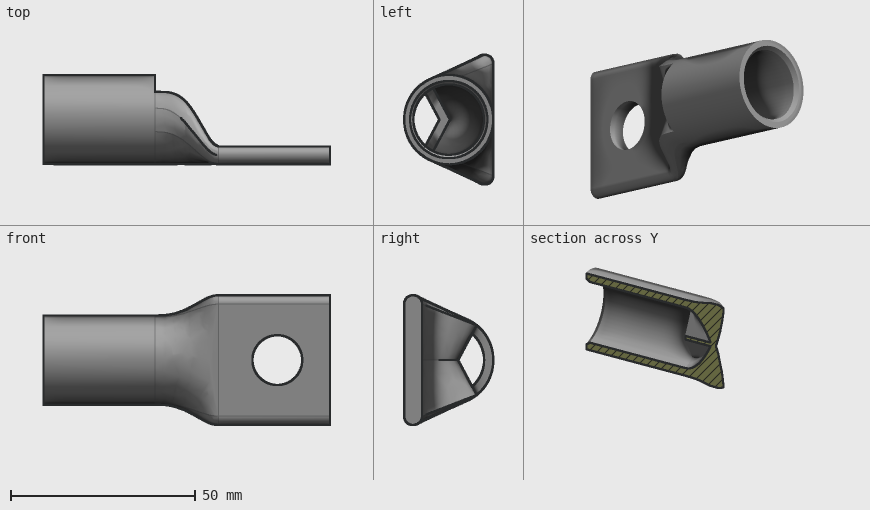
import cadquery as cq
import math

total_length = 77.7
barrel_length = 30.3
barrel_radius = 12.1
bore_radius = 9.55
mouth_radius = 10.5
mouth_chamfer_depth = 1.2
wall = barrel_radius - bore_radius

pad_start = 47.4
pad_width = 35.3
pad_thickness = 4.9
pad_edge_radius = pad_thickness / 2
pad_middle_y = -barrel_radius + pad_edge_radius
hole_x = 63.4
hole_diameter = 13.45

neck_length = pad_start - barrel_length
fold_tip_y = 2.6
fold_angle = math.radians(28)
lower_seam_y = -3.3
upper_seam_y = 3.1
section_count = 9
flat_tolerance = 7.77e-07
edge_delay = 1.35
fold_delay = 1.8
cavity_length = 7.8
cavity_end_scale = 0.02


def point_on_circle(radius, y):
    return (y, math.sqrt(radius**2 - y**2))


def fold_on_circle(radius, tip_y):
    """Point (Y, Z) where the +Z flank of the fold meets a circle."""
    along = math.sqrt(radius**2 - (tip_y * math.cos(fold_angle))**2) - tip_y * math.sin(fold_angle)
    return (tip_y + along * math.sin(fold_angle), along * math.cos(fold_angle))


def arc_middle(radius, first, second):
    """Point halfway between two points along a circle about the X axis."""
    angle = (math.atan2(first[1], first[0]) + math.atan2(second[1], second[0])) / 2
    return (radius * math.cos(angle), radius * math.sin(angle))


def blend(start, end, progress, delay):
    """Move smoothly from start to end, leaving late and arriving level."""
    late = progress**delay
    share = late**2 * (3 - 2 * late)
    return tuple(a + (b - a) * share for a, b in zip(start, end))


def mirrored(point):
    return (point[0], -point[1])


def section_plane(progress):
    """Plane across the neck with local x along Y and local y along Z."""
    origin = (barrel_length + neck_length * progress, 0, 0)
    return cq.Plane(origin=origin, xDir=(0, 1, 0), normal=(1, 0, 0))


def section_wire(progress, tip, corner, arcs, base):
    """Closed section: fold flanks, side arcs (middle, end) and base arc."""
    path = cq.Workplane(section_plane(progress)).moveTo(*tip).lineTo(*corner)
    for middle, end in arcs:
        path = path.threePointArc(middle, end)
    last = arcs[-1][1] if arcs else corner
    if abs(base[0] - last[0]) > flat_tolerance:
        path = path.threePointArc(base, mirrored(last))
    else:
        path = path.lineTo(*mirrored(last))
    arc_starts = [corner] + [end for _, end in arcs[:-1]]
    for (middle, _), start in reversed(list(zip(arcs, arc_starts))):
        path = path.threePointArc(mirrored(middle), mirrored(start))
    return path.close().val()


def skin_section(progress):
    corner = fold_on_circle(barrel_radius, fold_tip_y)
    upper = point_on_circle(barrel_radius, upper_seam_y)
    lower = point_on_circle(barrel_radius, lower_seam_y)
    flat_half_width = pad_width / 2 - pad_edge_radius
    pad_top = pad_middle_y + pad_edge_radius
    round_offset = pad_edge_radius * math.sqrt(0.5)
    round_z = flat_half_width + round_offset

    tip = blend((fold_tip_y, 0), (pad_top, 0), progress, fold_delay)
    corner_now = blend(corner, (pad_top, flat_half_width), progress, fold_delay)
    upper_now = blend(upper, (pad_middle_y, pad_width / 2), progress, edge_delay)
    lower_now = blend(lower, (-barrel_radius, flat_half_width), progress, edge_delay)
    upper_middle = blend(arc_middle(barrel_radius, corner, upper),
                         (pad_middle_y + round_offset, round_z), progress, edge_delay)
    lower_middle = blend(arc_middle(barrel_radius, upper, lower),
                         (pad_middle_y - round_offset, round_z), progress, edge_delay)
    arcs = [(upper_middle, upper_now), (lower_middle, lower_now)]
    return section_wire(progress, tip, corner_now, arcs, (-barrel_radius, 0))


def cavity_section(progress):
    """Bore below the fold, shrunk towards the fold tip so the roof stays straight."""
    tip_y = fold_tip_y - wall / math.cos(fold_angle)
    tip = (tip_y, 0)
    scale = 1 - (1 - cavity_end_scale) * progress**2
    corner = fold_on_circle(bore_radius, tip_y)
    corner_now = (tip_y + (corner[0] - tip_y) * scale, corner[1] * scale)
    base = (tip_y - (bore_radius + tip_y) * scale, 0)
    return section_wire(progress * cavity_length / neck_length, tip, corner_now, [], base)


def loft_neck(section):
    wires = [section(i / (section_count - 1)) for i in range(section_count)]
    return cq.Workplane(cq.Solid.makeLoft(wires))


def make_barrel():
    barrel = cq.Workplane("YZ").circle(barrel_radius).circle(bore_radius).extrude(barrel_length)
    chamfer = cq.Solid.makeCone(mouth_radius, bore_radius, mouth_chamfer_depth,
                                cq.Vector(0, 0, 0), cq.Vector(1, 0, 0))
    return barrel.cut(cq.Workplane(chamfer))


def make_pad():
    pad = cq.Workplane(section_plane(1)).center(pad_middle_y, 0)
    pad = pad.slot2D(pad_width, pad_thickness, 90).extrude(total_length - pad_start)
    hole = cq.Workplane("XZ").center(hole_x, 0).circle(hole_diameter / 2)
    return pad.cut(hole.extrude(2 * barrel_radius, both=True))


neck = loft_neck(skin_section).cut(loft_neck(cavity_section))
result = make_barrel().union(neck).union(make_pad())